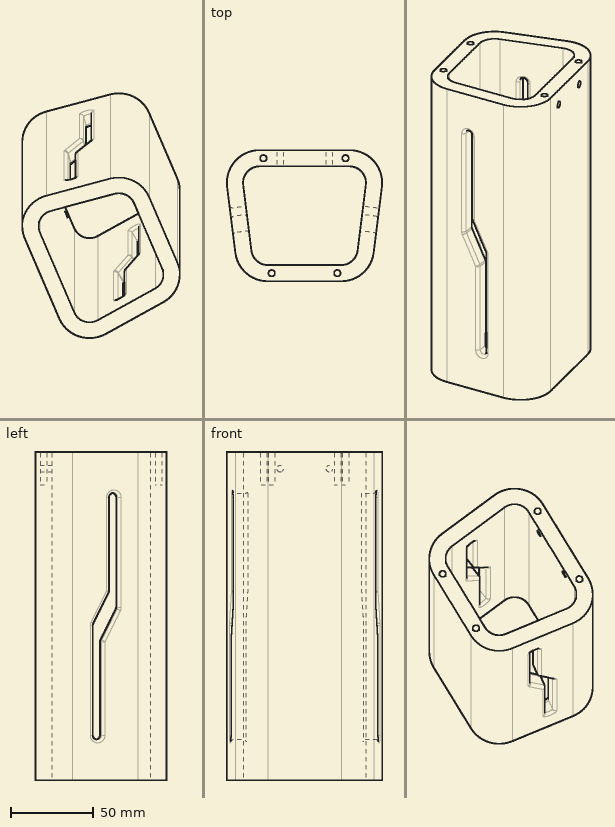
import math

import cadquery as cq

HEIGHT = 200.0
DEPTH = 80.0
BACK_WIDTH = 100.0
FRONT_WIDTH = 80.0
WALL = 10.0
OUTER_RADIUS = 20.0

RIM_HOLE_DIAMETER = 3.95
RIM_HOLE_DEPTH = 20.0
BACK_RIM_HOLE_SPACING = 50.0
FRONT_RIM_HOLE_SPACING = 40.0

CROSS_HOLE_DIAMETER = 4.0
CROSS_HOLE_SPACING = 30.0
CROSS_HOLE_BELOW_TOP = 10.0

SLOT_MIDDLE_Y = -2.75
SLOT_WIDTH = 5.0
SLOT_LENGTH = 150.0
LEG_OFFSET = 5.0
FAR_BEND = 15.0
NEAR_BEND = 5.0
BEND_RADIUS = 2.5
SLOT_FILLET = 2.0

half_depth = DEPTH / 2
rim_middle = half_depth - WALL / 2

side_tilt = math.atan((BACK_WIDTH - FRONT_WIDTH) / 2 / DEPTH)
slot_middle_x = (BACK_WIDTH + FRONT_WIDTH) / 4 + SLOT_MIDDLE_Y * math.tan(side_tilt)
left_slot_middle = (-slot_middle_x, SLOT_MIDDLE_Y, HEIGHT / 2)
right_slot_middle = (slot_middle_x, SLOT_MIDDLE_Y, HEIGHT / 2)


def make_tube():
    """Rounded trapezoid tube with a wall of even thickness."""
    outline = [
        (-FRONT_WIDTH / 2, -half_depth),
        (FRONT_WIDTH / 2, -half_depth),
        (BACK_WIDTH / 2, half_depth),
        (-BACK_WIDTH / 2, half_depth),
    ]
    outer = cq.Workplane("XY").polyline(outline).close().extrude(HEIGHT)
    outer = outer.edges("|Z").fillet(OUTER_RADIUS)
    bore = outer.faces("<Z").wires().toPending().offset2D(-WALL).extrude(HEIGHT, combine=False)
    return outer.cut(bore)


def rim_holes():
    """Cutters for the four blind holes in the top rim."""
    back = [(side * BACK_RIM_HOLE_SPACING / 2, rim_middle) for side in (-1, 1)]
    front = [(side * FRONT_RIM_HOLE_SPACING / 2, -rim_middle) for side in (-1, 1)]
    rim = cq.Workplane("XY", origin=(0, 0, HEIGHT))
    return rim.pushPoints(back + front).circle(RIM_HOLE_DIAMETER / 2).extrude(-RIM_HOLE_DEPTH)


def cross_holes():
    """Cutters for the two holes through the back wall."""
    start = cq.Workplane("XZ", origin=(0, half_depth - WALL, HEIGHT - CROSS_HOLE_BELOW_TOP))
    centres = [(side * CROSS_HOLE_SPACING / 2, 0) for side in (-1, 1)]
    return start.pushPoints(centres).circle(CROSS_HOLE_DIAMETER / 2).extrude(-WALL)


def left_slot():
    """Stepped slot cut square to the left side face."""
    side_plane = cq.Plane(
        origin=left_slot_middle,
        xDir=(math.sin(side_tilt), -math.cos(side_tilt), 0),
        normal=(-math.cos(side_tilt), -math.sin(side_tilt), 0),
    )
    inner = LEG_OFFSET - SLOT_WIDTH / 2
    outer = LEG_OFFSET + SLOT_WIDTH / 2
    tip = SLOT_LENGTH / 2
    leg_end = tip - SLOT_WIDTH / 2
    profile = (
        cq.Workplane(side_plane)
        .moveTo(inner, leg_end)
        .threePointArc((LEG_OFFSET, tip), (outer, leg_end))
        .lineTo(outer, NEAR_BEND)
        .lineTo(-inner, -FAR_BEND)
        .lineTo(-inner, -leg_end)
        .threePointArc((-LEG_OFFSET, -tip), (-outer, -leg_end))
        .lineTo(-outer, -NEAR_BEND)
        .lineTo(inner, FAR_BEND)
        .close()
    )
    blade = profile.extrude(WALL, both=True)
    leg_middle = HEIGHT / 2 + leg_end / 2
    bend_zone = cq.selectors.BoxSelector(
        (-BACK_WIDTH, -DEPTH, HEIGHT - leg_middle),
        (0, DEPTH, leg_middle),
    )
    bends = cq.selectors.ParallelDirSelector(side_plane.zDir) & bend_zone
    return blade.edges(bends).fillet(BEND_RADIUS)


def round_slot_mouths(body, slot_middle):
    """Fillet both mouths of a slot, on the outer and inner faces of its side wall."""
    x, y, z = slot_middle
    outward = math.copysign(1, x)
    inner_middle = (
        x - outward * WALL * math.cos(side_tilt),
        y + WALL * math.sin(side_tilt),
        z,
    )
    edges = []
    for middle in (slot_middle, inner_middle):
        wall_face = body.faces(cq.selectors.NearestToPointSelector(middle)).val()
        edges.extend(wall_face.innerWires()[0].Edges())
    return body.newObject(edges).fillet(SLOT_FILLET)


slot = left_slot()
result = make_tube().cut(rim_holes()).cut(cross_holes())
result = result.cut(slot).cut(slot.mirror("YZ"))
for middle in (left_slot_middle, right_slot_middle):
    result = round_slot_mouths(result, middle)